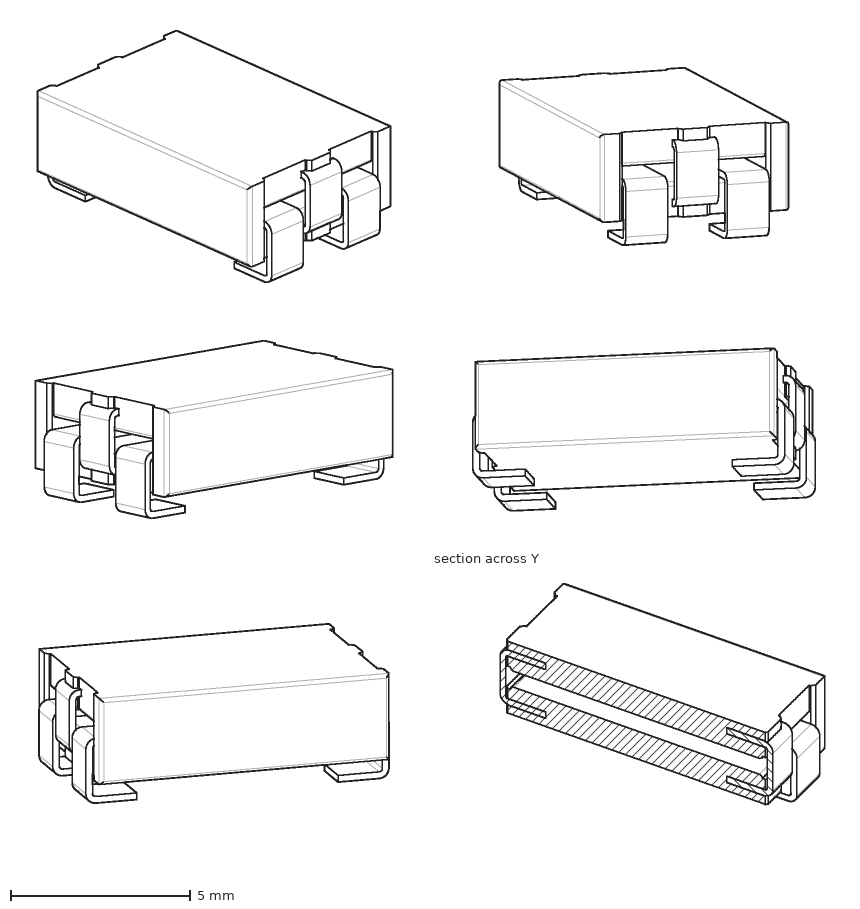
import cadquery as cq

overall_length = 8.9
overall_width = 5.6
overall_height = 3.2

strip_thickness = 0.2
strip_width = 1.25
strip_pitch = 1.5
inner_bend_radius = 0.1
outer_bend_radius = inner_bend_radius + strip_thickness
foot_length = 1.495
clip_raise = 1.01

standoff = 0.7
core_length = overall_length - 2 * strip_thickness
core_height = overall_height - standoff
core_mid_z = standoff + core_height / 2
edge_radius = 0.11

tunnel_width = 2 * strip_pitch + strip_width
tunnel_height = 0.53
mouth_radius = 0.11
floor_z = core_mid_z - tunnel_height / 2
strip_height = floor_z + strip_thickness

recess_depth = 0.15
recess_chamfer = 0.11
rib_width = 0.93
half_length = core_length / 2
recess_x = half_length - recess_depth
chamfer_x = half_length - recess_chamfer

SIGNS = (-1, 1)


def make_block():
    """Core block, rounded on the four edges of each long side face."""
    block = cq.Workplane("XY").box(core_length, overall_width, core_height)
    block = block.faces("<Y or >Y").edges().fillet(edge_radius)
    return block.translate((0, 0, core_mid_z))


def make_end_recess(end, side):
    """Full-height recess between the rib and one corner, chamfered at its outer edges."""
    y_rib = side * rib_width / 2
    y_corner = side * tunnel_width / 2
    chamfer = side * recess_chamfer
    return (
        cq.Workplane("XY", origin=(0, 0, standoff))
        .moveTo(end * half_length, y_rib - chamfer)
        .lineTo(end * chamfer_x, y_rib)
        .lineTo(end * recess_x, y_rib)
        .lineTo(end * recess_x, y_corner)
        .lineTo(end * chamfer_x, y_corner)
        .lineTo(end * half_length, y_corner + chamfer)
        .close()
        .extrude(core_height)
    )


def make_tunnel():
    """Straight tunnel along X with rounded floor and ceiling edges at its mouths."""
    straight = (
        cq.Workplane("XY")
        .box(core_length, tunnel_width, tunnel_height)
        .translate((0, 0, core_mid_z))
    )
    mouth_height = tunnel_height + 2 * mouth_radius
    mouth_depth = recess_depth + mouth_radius
    for end in SIGNS:
        mouth = (
            cq.Workplane("XY")
            .box(mouth_depth, tunnel_width, mouth_height)
            .translate((end * (half_length - mouth_depth / 2), 0, core_mid_z))
        )
        for level in SIGNS:
            lip = (
                cq.Workplane("XZ")
                .center(end * (recess_x - mouth_radius), core_mid_z + level * mouth_height / 2)
                .circle(mouth_radius)
                .extrude(tunnel_width / 2, both=True)
            )
            mouth = mouth.cut(lip)
        straight = straight.union(mouth)
    return straight


def make_strip_loop():
    """Closed strip loop spanning the whole length, bent round at its four corners."""
    outer = (
        cq.Workplane("XY")
        .box(overall_length, strip_width, strip_height)
        .edges("|Y")
        .fillet(outer_bend_radius)
    )
    inner = (
        cq.Workplane("XY")
        .box(core_length, strip_width, strip_height - 2 * strip_thickness)
        .edges("|Y")
        .fillet(inner_bend_radius)
    )
    return outer.cut(inner).translate((0, 0, strip_height / 2))


def make_conductor(side):
    """Conductor along the tunnel floor, folded down at both ends into inward feet."""
    foot_gap = (
        cq.Workplane("XY")
        .box(overall_length - 2 * foot_length, strip_width, strip_thickness)
        .translate((0, 0, strip_thickness / 2))
    )
    return make_strip_loop().cut(foot_gap).translate((0, side * strip_pitch, 0))


def make_end_clip(end):
    """C-shaped clip on the rib, with both arms set into the core."""
    end_zone = (
        cq.Workplane("XY")
        .box(foot_length, strip_width, strip_height)
        .translate((end * (overall_length - foot_length) / 2, 0, strip_height / 2))
    )
    return make_strip_loop().intersect(end_zone).translate((0, 0, clip_raise))


def make_core(clips):
    """Core with its tunnel, end recesses and matching slots for the clip arms."""
    core = make_block().cut(make_tunnel())
    for end in SIGNS:
        for side in SIGNS:
            core = core.cut(make_end_recess(end, side))
    for clip in clips:
        core = core.cut(clip)
    return core


conductors = [make_conductor(side) for side in SIGNS]
end_clips = [make_end_clip(end) for end in SIGNS]
core = make_core(end_clips)

result = cq.Compound.makeCompound(
    [
        core.solids().val(),
        *[conductor.solids().val() for conductor in conductors],
        *[clip.solids().val() for clip in end_clips],
    ]
)